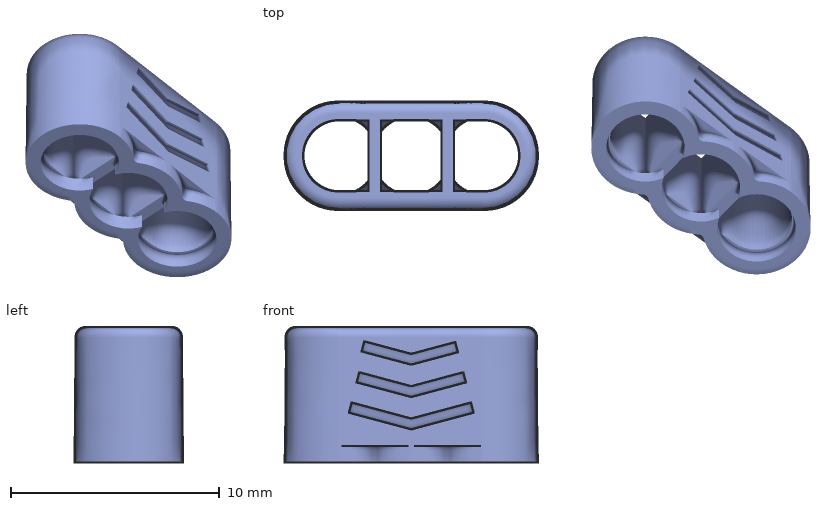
import cadquery as cq
import math

height = 6.5
end_radius = 2.6
overall_length = 12.15
draft_angle = 0.5
rim_fillet = 0.5
pitch = overall_length / 2 - end_radius
bore_centers = [-pitch, 0, pitch]

foot_height = 0.8
valley_radius = 0.3

cell_width = 3.4
middle_cell_length = 2.9
divider_thickness = 0.6
divider_offset = (middle_cell_length + divider_thickness) / 2

bore_radius = 1.88
bore_depth = foot_height

chevron_angle = math.radians(15)
chevron_band = 0.5
chevron_depth = 0.2
chevron_pitch = 1.55
lowest_chevron_apex = 2.11
chevron_arms = [(2.96, 2.96), (2.58, 2.58), (2.33, 2.18)]


def make_body():
    body = (
        cq.Workplane("XY")
        .slot2D(overall_length, 2 * end_radius)
        .extrude(height, taper=draft_angle)
    )
    return body.faces(">Z").edges().fillet(rim_fillet)


def make_foot_profile():
    """Three overlapping discs with rounded valleys between them."""
    valley_y = math.sqrt((end_radius + valley_radius) ** 2 - (pitch / 2) ** 2)
    tangent_share = end_radius / (end_radius + valley_radius)
    tangent_x = pitch / 2 * tangent_share
    tangent_y = valley_y * tangent_share
    valley_bottom = valley_y - valley_radius
    return (
        cq.Workplane("XY")
        .moveTo(-pitch + tangent_x, tangent_y)
        .threePointArc((-pitch / 2, valley_bottom), (-tangent_x, tangent_y))
        .threePointArc((0, end_radius), (tangent_x, tangent_y))
        .threePointArc((pitch / 2, valley_bottom), (pitch - tangent_x, tangent_y))
        .threePointArc((pitch + end_radius, 0), (pitch - tangent_x, -tangent_y))
        .threePointArc((pitch / 2, -valley_bottom), (tangent_x, -tangent_y))
        .threePointArc((0, -end_radius), (-tangent_x, -tangent_y))
        .threePointArc((-pitch / 2, -valley_bottom), (-pitch + tangent_x, -tangent_y))
        .threePointArc((-pitch - end_radius, 0), (-pitch + tangent_x, tangent_y))
        .close()
    )


def make_foot_cut():
    """Material beside the discs, removed between the two end centres."""
    block = cq.Workplane("XY").rect(2 * pitch, 2 * end_radius).extrude(foot_height)
    return block.cut(make_foot_profile().extrude(foot_height))


def make_cells():
    """Slot split in three by the dividers, running from the bores up to the rim."""
    cell_height = height - bore_depth
    cells = (
        cq.Workplane("XY", origin=(0, 0, bore_depth))
        .slot2D(2 * pitch + cell_width, cell_width)
        .extrude(cell_height)
    )
    dividers = (
        cq.Workplane("XY", origin=(0, 0, bore_depth))
        .pushPoints([(-divider_offset, 0), (divider_offset, 0)])
        .rect(divider_thickness, cell_width)
        .extrude(cell_height)
    )
    return cells.cut(dividers)


def make_bore(center_x):
    return cq.Workplane("XY").center(center_x, 0).circle(bore_radius).extrude(bore_depth)


def make_chevron(apex_z, left_arm, right_arm):
    """V-shaped band with square-cut ends, reaching inwards from the -Y side."""
    run = math.cos(chevron_angle)
    rise = math.sin(chevron_angle)
    end_shift_x = chevron_band * rise
    end_drop = chevron_band * run
    left_x, left_z = -left_arm * run, apex_z + left_arm * rise
    right_x, right_z = right_arm * run, apex_z + right_arm * rise
    groove_floor = end_radius - chevron_depth
    return (
        cq.Workplane("XZ", origin=(0, -groove_floor, 0))
        .moveTo(0, apex_z)
        .lineTo(right_x, right_z)
        .lineTo(right_x + end_shift_x, right_z - end_drop)
        .lineTo(0, apex_z - chevron_band / run)
        .lineTo(left_x - end_shift_x, left_z - end_drop)
        .lineTo(left_x, left_z)
        .close()
        .extrude(end_radius)
    )


result = make_body().cut(make_foot_cut()).cut(make_cells())
for center_x in bore_centers:
    result = result.cut(make_bore(center_x))
for level, (left_arm, right_arm) in enumerate(chevron_arms):
    apex_z = lowest_chevron_apex + level * chevron_pitch
    chevron = make_chevron(apex_z, left_arm, right_arm)
    result = result.cut(chevron).cut(chevron.mirror("XZ"))